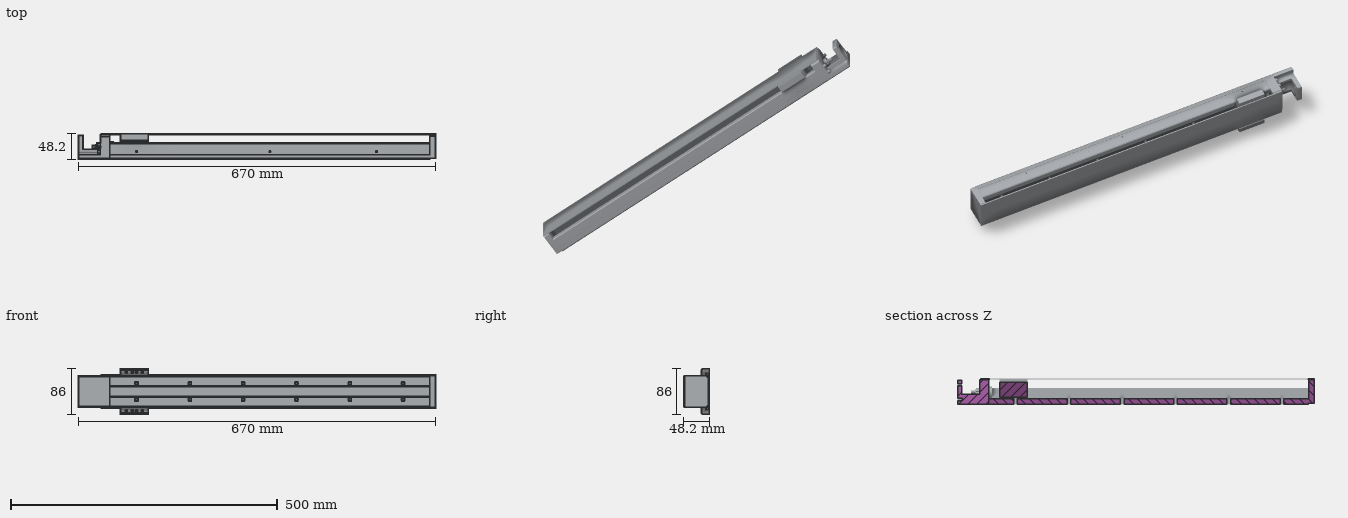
import cadquery as cq

bracket_length = 59.0
rail_length = 600.0
end_block_length = 11.0
rail_start = bracket_length
rail_end = rail_start + rail_length
total_length = rail_end + end_block_length

half_width = 30.0
base_thickness = 9.0
foot_chamfer = 2.3
total_height = 48.2
cover_thickness = 2.0
frame_height = total_height - cover_thickness
housing_chamfer = 4.0
end_block_chamfer = 2.5

flange_thickness = 9.0
flange_half_width = 19.5
flange_height = 45.5
flange_fillet = 2.5
trough_height = 19.0
wall_fillet = 4.0
selection_margin = 0.1
housing_start = 41.0
axis_y = 23.0
motor_bore_diameter = 28.0
motor_hole_pitch = 28.0
motor_hole_diameter = 3.4

shaft_start = 25.5
shaft_diameter = 6.0
nut_start = 32.5
nut_diameter = 9.0
retainer_start = 34.5
retainer_diameter = 16.0
retainer_hole_diameter = 3.4
retainer_hole_depth = 8.0
collar_length = 6.0
collar_diameter = 20.8
screw_head_diameter = 6.0
screw_head_height = 4.5
screw_heights = (14.0, 28.0)
screw_offset_z = 25.0

rail_height = 31.0
rail_upper_half_width = 29.4
rail_top_chamfer = 1.5
channel_half_width = 18.0
channel_floor = 11.0
groove_width = 2.0
groove_depth = 1.0
groove_offset_z = 10.0
mount_hole_diameter = 6.0
mount_hole_offset_z = 15.0
mount_hole_first = rail_start + 50.0
mount_hole_pitch = 100.0
mount_hole_count = 6
side_hole_diameter = 2.6
side_hole_depth = 6.0
side_hole_height = 14.5
side_hole_places = (mount_hole_first, mount_hole_first + 250.0, mount_hole_first + 450.0)
end_block_bottom = 2.0

carriage_length = 52.5
carriage_center = 105.0
carriage_half_width = 43.0
carriage_bottom = 33.0
carriage_chamfer = 3.0
cover_slot_half_width = 33.5
cover_slot_floor = 42.0
slider_half_width = 17.0
slider_bottom = 13.0
carriage_hole_diameter = 4.0
carriage_hole_depth = 8.0
carriage_hole_offset_z = 36.5
carriage_hole_offsets = (-15.0, -4.0, 4.0, 15.0)

cover_start = 43.0
cover_half_width = 31.0
cover_rim_width = 4.0
cover_recess_depth = 0.8


def centered_block(x, y, half_z):
    """Box spanning the (low, high) pairs x and y, centred on Z."""
    length = x[1] - x[0]
    height = y[1] - y[0]
    corner = (x[0], y[0], -half_z)
    return cq.Workplane("XY").box(length, height, 2 * half_z, centered=False).translate(corner)


def cylinder_x(diameter, x, y, z):
    """Cylinder along X spanning the (low, high) pair x."""
    disc = cq.Workplane("YZ", origin=(x[0], y, z)).circle(diameter / 2)
    return disc.extrude(x[1] - x[0])


def cylinder_y(diameter, x, y, z):
    """Cylinder along Y spanning the (low, high) pair y."""
    disc = cq.Workplane("XZ", origin=(x, y[0], z)).circle(diameter / 2)
    return disc.extrude(y[0] - y[1])


def make_bracket():
    plate = centered_block((0, bracket_length), (0, base_thickness), half_width)
    plate = plate.faces("<Y").edges("|X").chamfer(foot_chamfer)
    trough = centered_block((0, housing_start), (0, trough_height), flange_half_width)
    flange = centered_block((0, flange_thickness), (0, flange_height), flange_half_width)
    flange = flange.faces(">Y").edges("|X").fillet(flange_fillet)
    bracket = plate.union(trough).union(flange)

    foot_reach = flange_half_width + selection_margin
    foot_edges = cq.selectors.BoxSelector(
        (0, base_thickness - selection_margin, -foot_reach),
        (housing_start, base_thickness + selection_margin, foot_reach),
    )
    bracket = bracket.edges("|X").edges(foot_edges).fillet(wall_fillet)

    housing = centered_block((housing_start, bracket_length), (base_thickness, frame_height), half_width)
    housing = housing.faces(">Y").edges("|X").chamfer(housing_chamfer)
    bracket = bracket.union(housing)

    bracket = bracket.cut(cylinder_x(motor_bore_diameter, (0, housing_start), axis_y, 0))
    half_pitch = motor_hole_pitch / 2
    for y in (axis_y - half_pitch, axis_y + half_pitch):
        for z in (-half_pitch, half_pitch):
            bracket = bracket.cut(cylinder_x(motor_hole_diameter, (0, flange_thickness), y, z))

    bracket = bracket.union(cylinder_x(shaft_diameter, (shaft_start, housing_start), axis_y, 0))
    bracket = bracket.union(cylinder_x(nut_diameter, (nut_start, housing_start), axis_y, 0))
    bracket = bracket.union(cylinder_x(retainer_diameter, (retainer_start, housing_start), axis_y, 0))
    collar_end = bracket_length + collar_length
    bracket = bracket.union(cylinder_x(collar_diameter, (bracket_length, collar_end), axis_y, 0))
    retainer_hole_end = retainer_start + retainer_hole_depth
    for side in (-1, 1):
        hole_z = side * retainer_diameter / 2
        hole = cylinder_x(retainer_hole_diameter, (retainer_start, retainer_hole_end), axis_y, hole_z)
        bracket = bracket.cut(hole)

    head_start = housing_start - screw_head_height
    for y in screw_heights:
        for side in (-1, 1):
            head = cylinder_x(screw_head_diameter, (head_start, housing_start), y, side * screw_offset_z)
            bracket = bracket.union(head)
    return bracket


def make_rail():
    span = (rail_start, rail_end)
    foot = centered_block(span, (0, base_thickness), half_width)
    foot = foot.faces("<Y").edges("|X").chamfer(foot_chamfer)
    walls = centered_block(span, (base_thickness, rail_height), rail_upper_half_width)
    walls = walls.faces(">Y").edges("|X").chamfer(rail_top_chamfer)
    rail = foot.union(walls)
    rail = rail.cut(centered_block(span, (channel_floor, rail_height), channel_half_width))

    for side in (-1, 1):
        groove = centered_block(span, (0, groove_depth), groove_width / 2)
        rail = rail.cut(groove.translate((0, 0, side * groove_offset_z)))
        for i in range(mount_hole_count):
            x = mount_hole_first + i * mount_hole_pitch
            hole_z = side * mount_hole_offset_z
            rail = rail.cut(cylinder_y(mount_hole_diameter, x, (0, channel_floor), hole_z))
        side_plane = cq.Workplane("XY", origin=(0, side_hole_height, side * rail_upper_half_width))
        holes = side_plane.pushPoints([(x, 0) for x in side_hole_places])
        rail = rail.cut(holes.circle(side_hole_diameter / 2).extrude(-side * side_hole_depth))

    end_block = centered_block((rail_end, total_length), (end_block_bottom, frame_height), half_width)
    end_block = end_block.faces(">Y").edges("|X").chamfer(end_block_chamfer)
    return rail.union(end_block)


def make_carriage():
    half_length = carriage_length / 2
    span = (carriage_center - half_length, carriage_center + half_length)
    carriage = centered_block(span, (carriage_bottom, total_height), carriage_half_width)
    carriage = carriage.faces("<Y").edges("|X").chamfer(carriage_chamfer)
    carriage = carriage.cut(centered_block(span, (cover_slot_floor, total_height), cover_slot_half_width))
    carriage = carriage.union(centered_block(span, (slider_bottom, carriage_bottom), slider_half_width))

    hole_depths = (carriage_bottom, carriage_bottom + carriage_hole_depth)
    for offset in carriage_hole_offsets:
        for side in (-1, 1):
            x = carriage_center + offset
            hole_z = side * carriage_hole_offset_z
            carriage = carriage.cut(cylinder_y(carriage_hole_diameter, x, hole_depths, hole_z))
    return carriage


def make_cover():
    span = (cover_start, total_length)
    cover = centered_block(span, (frame_height, total_height), cover_half_width)
    recess_half_width = cover_half_width - cover_rim_width
    recess_top = frame_height + cover_recess_depth
    recess = centered_block((rail_start, rail_end), (frame_height, recess_top), recess_half_width)
    return cover.cut(recess)


bracket = make_bracket()
rail = make_rail()
carriage = make_carriage()
cover = make_cover()
result = cq.Compound.makeCompound([bracket.val(), rail.val(), carriage.val(), cover.val()])